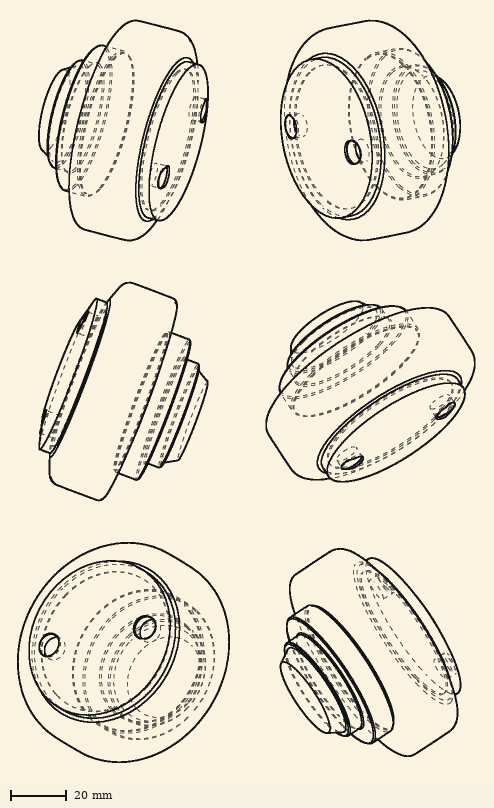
import cadquery as cq
import math


collar_start = 5.0
flange_start = 11.0
flange_end = 20.0
wheel_start = 20.35
wheel_end = 43.4
cap_start = 44.05
cap_taper_start = 48.0
overall_length = 50.5

tip_base_radius = 18.0
collar_radius = 40.0 / 2
flange_radius = 54.0 / 2
neck_radius = 52.5 / 2
cap_radius = 58.0 / 2
edge_chamfer = 0.5

tip_angle = math.radians(30)
cap_angle = math.radians(75)
wheel_cone_angle = math.radians(20)

wheel_radius = 38.85
wheel_face_radius = 30.3
crown_radius = 497.3
crown_center_x = 30.0
wheel_start_fillet = 2.0
wheel_end_fillet = 4.0

socket_outer_diameter = 8.6
socket_inner_diameter = 8.4
socket_rim_x = 49.65
socket_depth = 4.7
socket_offset = 19.6

tip_radius = tip_base_radius - collar_start * math.tan(tip_angle)
cap_face_radius = cap_radius - (overall_length - cap_taper_start) * math.tan(cap_angle)


def turned(profile):
    """Revolve a closed profile of (x, radius) about the X axis."""
    return profile.close().revolve(360, (0, 0, 0), (1, 0, 0))


def crown_height(x):
    """Radius of the crowned wheel surface at x."""
    sag = crown_radius - math.sqrt(crown_radius**2 - (x - crown_center_x) ** 2)
    return wheel_radius - sag


def make_stud():
    """Tapered tip, collar, flange, neck under the wheel and tapered end cap."""
    c = edge_chamfer
    outline = [
        (0, 0),
        (0, tip_radius),
        (collar_start, tip_base_radius),
        (collar_start, collar_radius - c),
        (collar_start + c, collar_radius),
        (flange_start - c, collar_radius),
        (flange_start, collar_radius + c),
        (flange_start, flange_radius - c),
        (flange_start + c, flange_radius),
        (flange_end - c, flange_radius),
        (flange_end, flange_radius - c),
        (flange_end, neck_radius),
        (cap_start, neck_radius),
        (cap_start, cap_radius),
        (cap_taper_start, cap_radius),
        (overall_length, cap_face_radius),
        (overall_length, 0),
    ]
    return turned(cq.Workplane("XY").polyline(outline))


def make_wheel():
    """Crowned wheel, rounded at both rims, with a shallow cone towards the cap."""
    cone_rise = wheel_radius - wheel_face_radius
    corner_x = wheel_end - cone_rise * math.tan(wheel_cone_angle)
    profile = (
        cq.Workplane("XY")
        .moveTo(wheel_start, 0)
        .lineTo(wheel_start, crown_height(wheel_start))
        .threePointArc((crown_center_x, wheel_radius), (corner_x, crown_height(corner_x)))
        .lineTo(wheel_end, wheel_face_radius)
        .lineTo(wheel_end, 0)
    )
    wheel = turned(profile)
    wheel = wheel.faces("<X").edges().fillet(wheel_start_fillet)
    rim_point = (corner_x, 0, crown_height(corner_x))
    return wheel.edges(cq.NearestToPointSelector(rim_point)).fillet(wheel_end_fillet)


def socket_cylinder(side, diameter, end_x):
    """Cylinder along X from the socket floor to end_x, on the +Y or -Y side."""
    floor_x = overall_length - socket_depth
    return (
        cq.Workplane("YZ", origin=(floor_x, side * socket_offset, 0))
        .circle(diameter / 2)
        .extrude(end_x - floor_x)
    )


result = make_stud().union(make_wheel())
for side in (-1, 1):
    result = result.cut(socket_cylinder(side, socket_outer_diameter, overall_length))
    sleeve = socket_cylinder(side, socket_outer_diameter, socket_rim_x)
    sleeve = sleeve.cut(socket_cylinder(side, socket_inner_diameter, overall_length))
    result = result.union(sleeve)